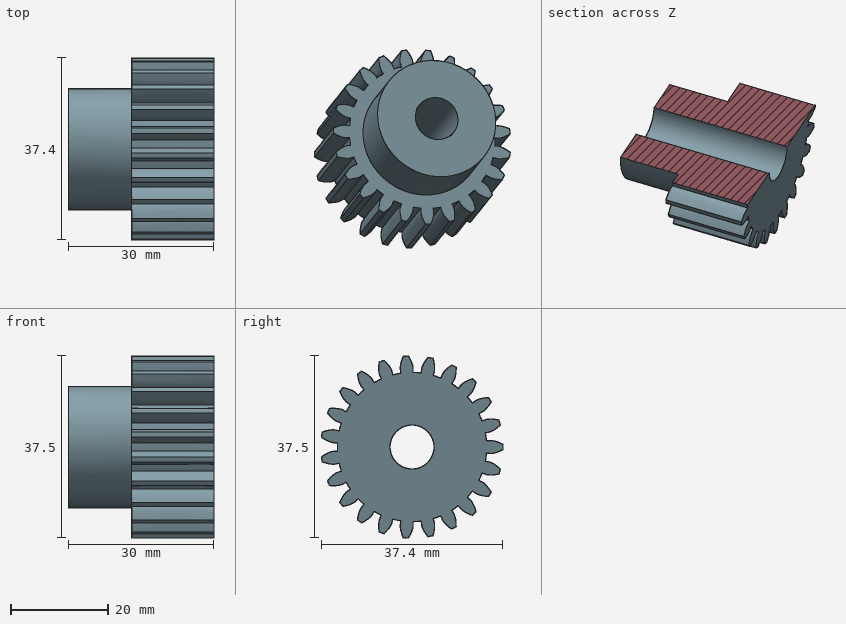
import cadquery as cq
import math

module = 1.5
tooth_count = 23
pressure_angle = math.radians(20)
face_width = 17.0
hub_length = 13.0
hub_diameter = 25.0
bore_diameter = 9.0

addendum = module
dedendum = 1.25 * module
pitch_radius = module * tooth_count / 2
base_radius = pitch_radius * math.cos(pressure_angle)
tip_radius = pitch_radius + addendum
root_radius = pitch_radius - dedendum
tooth_pitch_angle = 2 * math.pi / tooth_count

tip_roll = math.sqrt((tip_radius / base_radius) ** 2 - 1)
base_half_angle = tooth_pitch_angle / 4 + math.tan(pressure_angle) - pressure_angle
flank_steps = 6

total_length = hub_length + face_width


def polar(radius, angle):
    """Sketch point at a radius and an angle from +Y towards +Z."""
    return (radius * math.cos(angle), radius * math.sin(angle))


def flank_point(roll, tooth_angle, side):
    """Involute point of a tooth; side is -1 or +1 for the two flanks."""
    radius = base_radius * math.hypot(1, roll)
    half_angle = base_half_angle - (roll - math.atan(roll))
    return polar(radius, tooth_angle + side * half_angle)


def make_tooth(tooth_angle):
    """One tooth: radial flanks below the base circle, involute flanks above it."""
    rolls = [tip_roll * i / flank_steps for i in range(flank_steps + 1)]
    rising = [flank_point(roll, tooth_angle, -1) for roll in rolls]
    falling = [flank_point(roll, tooth_angle, 1) for roll in reversed(rolls)]
    return (
        cq.Workplane("YZ", origin=(hub_length, 0, 0))
        .moveTo(0, 0)
        .lineTo(*rising[0])
        .spline(rising[1:], includeCurrent=True)
        .threePointArc(polar(tip_radius, tooth_angle), falling[0])
        .spline(falling[1:], includeCurrent=True)
        .close()
        .extrude(face_width)
    )


def make_gear():
    """Root cylinder with the ring of teeth."""
    gear = cq.Workplane("YZ", origin=(hub_length, 0, 0)).circle(root_radius).extrude(face_width)
    for i in range(tooth_count):
        gear = gear.union(make_tooth(i * tooth_pitch_angle))
    return gear


def make_hub():
    return cq.Workplane("YZ").circle(hub_diameter / 2).extrude(hub_length)


def make_bore():
    """Through bore along the whole part."""
    return cq.Workplane("YZ").circle(bore_diameter / 2).extrude(total_length)


result = make_gear().union(make_hub()).cut(make_bore())